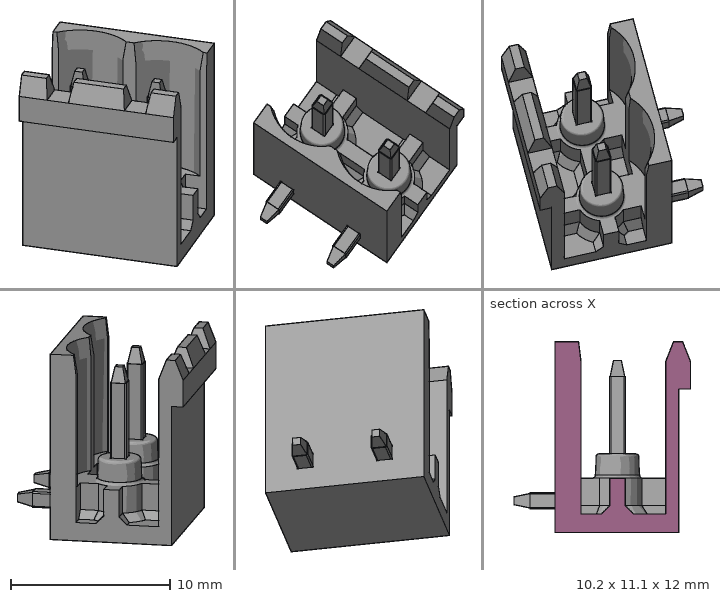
import cadquery as cq


HEIGHT = 12.0
PIN_COUNT = 2
WIDTH = 10.16
PITCH = WIDTH / PIN_COUNT
DEPTH = 7.78
FLOOR_TOP = 1.19
TAPER_START = 10.74
PIN_XS = [(i - (PIN_COUNT - 1) / 2) * PITCH for i in range(PIN_COUNT)]

REAR_WALL_FRONT = 6.13
REAR_LIP_SETBACK = 0.15
SCALLOP_RADIUS = 3.11
SCALLOP_TOP_RADIUS = 3.34

LATCH_WALL_BACK = 0.83
HOOK_REACH = 0.75
HOOK_BOTTOM = 9.01
HOOK_TIP_FRONT = -0.24
HOOK_TIP_BACK = 0.34
NOTCH_BOTTOM_WIDTH = 1.39
NOTCH_TOP_WIDTH = 1.81

PIN_Y = 3.85
PIN_LEG_Z = 2.0
PIN_SIZE = 1.02
PIN_EDGE_CHAMFER = 0.1
PIN_TAPER_LENGTH = 1.01
PIN_TAPER_BASE = PIN_SIZE - PIN_EDGE_CHAMFER
PIN_TIP_SIZE = 0.5
PIN_TOP = 10.82
PIN_REAR_END = 10.35

RIB_TOP = 3.42
FOOT_CHAMFER = 0.5
CROSS_RIB_WIDTH = 1.0
FRONT_RIB_WIDTH = 1.0
REAR_RIB_WIDTH = 2.3
COLLAR_TOP = 4.95
COLLAR_BASE_RADIUS = 1.4
COLLAR_TOP_RADIUS = 1.35
COLLAR_FILLET = 0.2
BOSS_RADIUS = COLLAR_BASE_RADIUS + COLLAR_FILLET


def extrude_along_x(points):
    """Extrude a (Y, Z) outline over the full housing width."""
    return cq.Workplane("YZ").polyline(points).close().extrude(WIDTH / 2, both=True)


def revolve_around_pin(points, pin_x):
    """Revolve a (radius, Z) outline around the upright axis of a pin."""
    profile = cq.Workplane("XZ").polyline(points).close()
    return profile.revolve(360, (0, 0), (0, 1)).translate((pin_x, PIN_Y, 0))


def make_box(x_limits, y_limits, z_limits):
    """Make a box from its lower and upper limits along each axis."""
    limits = (x_limits, y_limits, z_limits)
    size = [upper - lower for lower, upper in limits]
    corner = [lower for lower, upper in limits]
    return cq.Workplane("XY").box(*size, centered=False).translate(tuple(corner))


def make_rear_wall():
    wall = extrude_along_x([
        (REAR_WALL_FRONT, 0),
        (DEPTH, 0),
        (DEPTH, HEIGHT),
        (REAR_WALL_FRONT + REAR_LIP_SETBACK, HEIGHT),
        (REAR_WALL_FRONT, TAPER_START),
    ])
    scallop = [
        (0, RIB_TOP),
        (SCALLOP_RADIUS, RIB_TOP),
        (SCALLOP_RADIUS, TAPER_START),
        (SCALLOP_TOP_RADIUS, HEIGHT),
        (0, HEIGHT),
    ]
    for pin_x in PIN_XS:
        wall = wall.cut(revolve_around_pin(scallop, pin_x))
    return wall


def make_latch_wall():
    wall = extrude_along_x([
        (0, 0),
        (LATCH_WALL_BACK, 0),
        (LATCH_WALL_BACK, TAPER_START),
        (HOOK_TIP_BACK, HEIGHT),
        (HOOK_TIP_FRONT, HEIGHT),
        (-HOOK_REACH, TAPER_START),
        (-HOOK_REACH, HOOK_BOTTOM),
        (0, HOOK_BOTTOM),
    ])
    for pin_x in PIN_XS:
        notch = (
            cq.Workplane("XZ", origin=(pin_x, LATCH_WALL_BACK, 0))
            .polyline([
                (-NOTCH_BOTTOM_WIDTH / 2, TAPER_START),
                (NOTCH_BOTTOM_WIDTH / 2, TAPER_START),
                (NOTCH_TOP_WIDTH / 2, HEIGHT),
                (-NOTCH_TOP_WIDTH / 2, HEIGHT),
            ])
            .close()
            .extrude(LATCH_WALL_BACK + HOOK_REACH)
        )
        wall = wall.cut(notch)
    return wall


def footed_rib_outline(width):
    """Cross-section of a rib that widens where it stands on the floor."""
    half = width / 2
    foot_half = half + FOOT_CHAMFER
    foot_top = FLOOR_TOP + FOOT_CHAMFER
    return [
        (-foot_half, 0),
        (foot_half, 0),
        (foot_half, FLOOR_TOP),
        (half, foot_top),
        (half, RIB_TOP),
        (-half, RIB_TOP),
        (-half, foot_top),
        (-foot_half, FLOOR_TOP),
    ]


def make_cross_rib():
    return extrude_along_x(footed_rib_outline(CROSS_RIB_WIDTH)).translate((0, PIN_Y, 0))


def make_lengthwise_rib(pin_x, width, y_start, y_end):
    outline = cq.Workplane("XZ", origin=(pin_x, y_end, 0)).polyline(footed_rib_outline(width)).close()
    return outline.extrude(y_end - y_start)


def make_boss(pin_x):
    return revolve_around_pin([
        (0, 0),
        (BOSS_RADIUS + FOOT_CHAMFER, 0),
        (BOSS_RADIUS + FOOT_CHAMFER, FLOOR_TOP),
        (BOSS_RADIUS, FLOOR_TOP + FOOT_CHAMFER),
        (BOSS_RADIUS, RIB_TOP),
        (0, RIB_TOP),
    ], pin_x)


def make_collar(pin_x):
    """Tapered collar with a rounded rim and a concave fillet onto its boss."""
    rim = revolve_around_pin([
        (0, RIB_TOP),
        (COLLAR_BASE_RADIUS, RIB_TOP),
        (COLLAR_TOP_RADIUS, COLLAR_TOP),
        (0, COLLAR_TOP),
    ], pin_x).faces(">Z").edges().fillet(COLLAR_FILLET)
    flare = (
        cq.Workplane("XZ")
        .moveTo(0, RIB_TOP)
        .lineTo(BOSS_RADIUS, RIB_TOP)
        .radiusArc((COLLAR_BASE_RADIUS, RIB_TOP + COLLAR_FILLET), COLLAR_FILLET)
        .lineTo(0, RIB_TOP + COLLAR_FILLET)
        .close()
        .revolve(360, (0, 0), (0, 1))
        .translate((pin_x, PIN_Y, 0))
    )
    return rim.union(flare)


def make_pin_hole(pin_x):
    """Square L-shaped channel from the collar top to the rear face."""
    half = PIN_SIZE / 2
    x_limits = (pin_x - half, pin_x + half)
    upright = make_box(x_limits, (PIN_Y - half, PIN_Y + half), (PIN_LEG_Z - half, COLLAR_TOP))
    level = make_box(x_limits, (PIN_Y - half, DEPTH), (PIN_LEG_Z - half, PIN_LEG_Z + half))
    return upright.union(level)


def make_housing():
    floor = extrude_along_x([(0, 0), (DEPTH, 0), (DEPTH, FLOOR_TOP), (0, FLOOR_TOP)])
    housing = floor.union(make_rear_wall()).union(make_latch_wall()).union(make_cross_rib())
    for pin_x in PIN_XS:
        housing = (
            housing
            .union(make_lengthwise_rib(pin_x, FRONT_RIB_WIDTH, LATCH_WALL_BACK, PIN_Y))
            .union(make_lengthwise_rib(pin_x, REAR_RIB_WIDTH, PIN_Y, REAR_WALL_FRONT))
            .union(make_boss(pin_x))
            .union(make_collar(pin_x))
        )
    for pin_x in PIN_XS:
        housing = housing.cut(make_pin_hole(pin_x))
    return housing


def make_pin_leg(length):
    """Upright square bar with bevelled edges and a tapered tip, standing on Z = 0."""
    bar_length = length - PIN_TAPER_LENGTH
    bar = cq.Workplane("XY").rect(PIN_SIZE, PIN_SIZE).extrude(bar_length)
    bar = bar.edges("|Z").chamfer(PIN_EDGE_CHAMFER)
    tip = (
        cq.Workplane("XY", origin=(0, 0, bar_length))
        .rect(PIN_TAPER_BASE, PIN_TAPER_BASE)
        .workplane(offset=PIN_TAPER_LENGTH)
        .rect(PIN_TIP_SIZE, PIN_TIP_SIZE)
        .loft()
    )
    return bar.union(tip)


def make_pin(pin_x):
    """Right-angle pin: an upright contact leg and a level solder leg."""
    elbow_y = PIN_Y - PIN_SIZE / 2
    elbow_z = PIN_LEG_Z - PIN_SIZE / 2
    upright = make_pin_leg(PIN_TOP - elbow_z).translate((pin_x, PIN_Y, elbow_z))
    level = make_pin_leg(PIN_REAR_END - elbow_y).rotate((0, 0, 0), (1, 0, 0), -90)
    return upright.union(level.translate((pin_x, elbow_y, PIN_LEG_Z)))


housing = make_housing()
pins = [make_pin(pin_x) for pin_x in PIN_XS]
result = cq.Compound.makeCompound([housing.val(), *[pin.val() for pin in pins]])